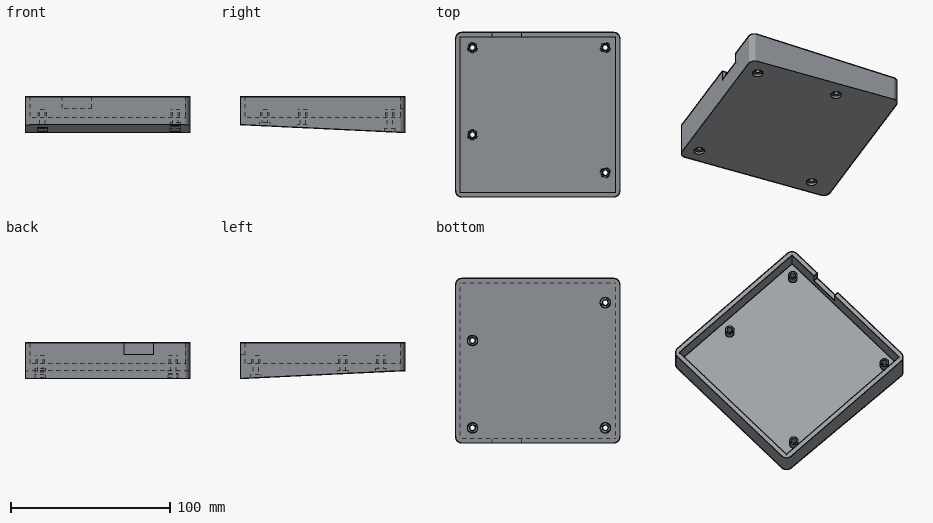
import cadquery as cq

width = 103.1
length = 103.4
front_height = 17.6
back_height = 22.5
wall = 2.9
corner_radius = 4.1
front_y = -length / 2
back_y = length / 2
slope = (back_height - front_height) / length

floor_depth = 13.0

boss_diameter = 5.4
boss_height = 5.0
hole_diameter = 3.4
head_diameter = 6.5
head_depth = 2.1
left_screw_x = -40.9
right_screw_x = 42.4
back_screw_y = 42.1
left_screw_y = -12.6
right_screw_y = -36.4
screw_points = [
    (left_screw_x, back_screw_y),
    (right_screw_x, back_screw_y),
    (left_screw_x, left_screw_y),
    (right_screw_x, right_screw_y),
]

notch_left = -28.7
notch_width = 18.6
notch_depth = 7.2


def underside_z(y):
    """Height of the sloping underside at a given y."""
    return -front_height - slope * (y - front_y)


def sloped_block():
    """Rounded block with a level top and a sloping underside."""
    side_outline = [
        (front_y, 0),
        (back_y, 0),
        (back_y, -back_height),
        (front_y, -front_height),
    ]
    block = cq.Workplane("YZ").polyline(side_outline).close().extrude(width / 2, both=True)
    return block.edges("|Z").fillet(corner_radius)


def cavity():
    """Square-cornered pocket above the level floor."""
    return cq.Workplane("XY").rect(width - 2 * wall, length - 2 * wall).extrude(-floor_depth)


def bosses():
    """Round posts standing on the floor."""
    floor_plane = cq.Workplane("XY").workplane(offset=-floor_depth)
    return floor_plane.pushPoints(screw_points).circle(boss_diameter / 2).extrude(boss_height)


def screw_cut(x, y):
    """Through hole with a head pocket opening on the underside."""
    hole = cq.Workplane("XY").center(x, y).circle(hole_diameter / 2).extrude(-back_height)
    pocket_top = cq.Workplane("XY").workplane(offset=underside_z(y) + head_depth)
    head = pocket_top.center(x, y).circle(head_diameter / 2).extrude(-back_height)
    return hole.union(head)


def cable_notch():
    """Rectangular gap cut down from the rim through the back wall."""
    corner = (notch_left, back_y - wall, -notch_depth)
    return cq.Workplane("XY").box(notch_width, wall, notch_depth, centered=False).translate(corner)


result = sloped_block().cut(cavity()).union(bosses()).cut(cable_notch())
for hole_x, hole_y in screw_points:
    result = result.cut(screw_cut(hole_x, hole_y))